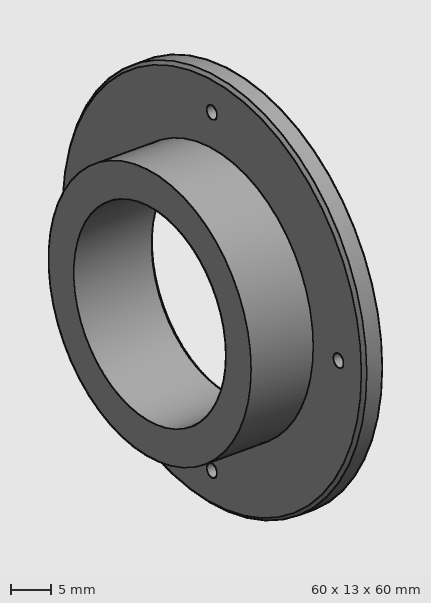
import cadquery as cq

flange_diameter = 60.0
flange_thickness = 3.0
flange_chamfer = 0.5
hub_diameter = 40.0
hub_length = 10.0
bore_diameter = 30.0
bore_chamfer = 0.5
bolt_circle_diameter = 50.0
bolt_hole_count = 4
bolt_hole_diameter = 2.0

total_length = flange_thickness + hub_length


def make_flange():
    """Disc at the back, chamfered on the rim facing the hub."""
    flange = cq.Workplane("XZ").circle(flange_diameter / 2).extrude(flange_thickness)
    return flange.faces("<Y").edges().chamfer(flange_chamfer)


def make_hub():
    """Plain cylinder that stands in front of the flange."""
    return cq.Workplane("XZ").circle(hub_diameter / 2).extrude(total_length)


def make_bore():
    """Cutter for the central through bore, chamfered at the back of the flange."""
    bore = cq.Workplane("XZ").circle(bore_diameter / 2).extrude(total_length)
    chamfer = (
        cq.Workplane("XZ")
        .circle(bore_diameter / 2 + bore_chamfer)
        .extrude(bore_chamfer, taper=45)
    )
    return bore.union(chamfer)


def make_bolt_holes():
    """Cutters for the plain through holes around the flange."""
    return (
        cq.Workplane("XZ")
        .polarArray(bolt_circle_diameter / 2, 0, 360, bolt_hole_count)
        .circle(bolt_hole_diameter / 2)
        .extrude(flange_thickness)
    )


result = make_flange().union(make_hub()).cut(make_bore()).cut(make_bolt_holes())